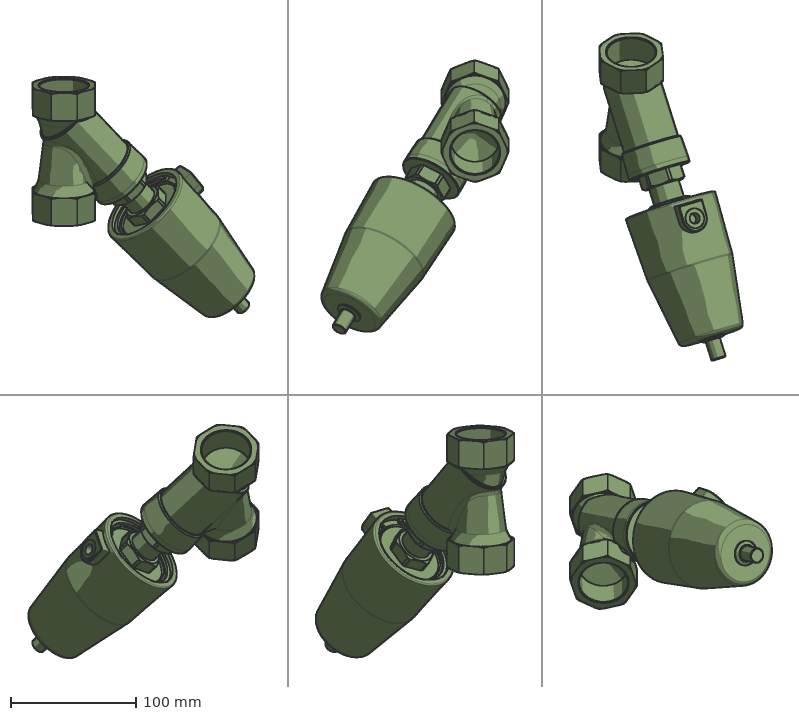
import cadquery as cq
import math


axis_start_height = 26.5
axis_dip = 48.0
dip_sin = math.sin(math.radians(axis_dip))
dip_cos = math.cos(math.radians(axis_dip))
tilted_axis = cq.Location(
    cq.Plane(
        origin=(0, 0, axis_start_height),
        xDir=(0, dip_sin, dip_cos),
        normal=(0, dip_cos, -dip_sin),
    )
)

pipe_length = 110.0
end_height = 23.0
end_across_flats = 50.0
end_sides = 8
end_chamfer_diameter = 51.5
chamfer_slope = math.tan(math.radians(30))
bore_diameter = 38.95
bore_depth = 22.0
bore_chamfer = 0.8
drill_tip_half_angle = 60.0

flare_root_radius = 24.4
flare_sag = 0.37
neck_radius = 20.3
upper_flare_height = 6.0
lower_flare_height = 9.0
upper_neck_foot = 12.0
upper_neck_foot_radius = 16.3
lower_neck_top = 12.0
lower_neck_top_radius = 16.0
neck_blend = 6.0

barrel_radius = 22.7
barrel_start = -2.2
barrel_chamfer = 0.7
collar_start = 54.4
collar_step = 1.2
collar_start_radius = 24.8
collar_radius = 25.4
collar_land_start = 71.0
collar_end = 75.8
collar_chamfer = 0.6

hex_across_flats = 32.0
hex_corner_diameter = 35.6
hex_face_diameter = 31.0

bonnet_hex_height = 11.4
stem_radius = 12.5

housing_start = 104.2
housing_edge_radius = 1.3
housing_mouth_radius = 37.53
housing_waist = 156.4
housing_waist_radius = 35.65
housing_waist_blend = 8.0
housing_end = 215.1
housing_end_radius = 26.5
housing_end_blend = 4.0
mouth_bore_radius = 32.5

hex_face = 101.2
disc_seat = 109.8
disc_centre = 111.3
disc_recess_radius = 27.75
disc_recess_floor_radius = 26.9
disc_thickness = 10.0
clip_thickness = 2.5
clip_inner_radius = 29.6
clip_ear_angle = 25.0
clip_ear_inner_radius = 27.9
clip_ear_width = 6.0
clip_ear_hole_radius = 29.9
clip_ear_hole_diameter = 1.5

port_height = 42.8
port_tilt = 3.4
port_centre = 122.2
port_start = 109.4
port_radius = 10.5
port_draft = 5.0
port_depth = 10.0
port_edge_chamfer = 0.6
port_face_diameter = 16.0
port_face_depth = 0.3
port_hole_diameter = 8.57
port_hole_depth = 9.0

gland_diameter = 20.0
gland_rim_height = 1.2
gland_tip_diameter = 14.0
gland_height = 2.2
gland_root = 1.0
pin_diameter = 12.0
pin_end = 233.08
pin_chamfer = 0.5
pin_start = 205.0


def turned(points):
    """Solid of revolution about local Z from (radius, height) corners."""
    return cq.Workplane("XZ").polyline(points).close().revolve(360, (0, 0, 0), (0, 1, 0))


def cylinder(radius, bottom, top):
    return cq.Workplane("XY").workplane(offset=bottom).circle(radius).extrude(top - bottom)


def place(solid):
    """Moves a solid from the upright frame onto the tilted axis."""
    return solid.val().moved(tilted_axis)


def pipe_end():
    """Upper octagon, with its rims turned to a cone at the corners."""
    corner_diameter = end_across_flats / math.cos(math.pi / end_sides)
    bottom = pipe_length / 2 - end_height
    top = pipe_length / 2
    rim = end_chamfer_diameter / 2
    drop = (corner_diameter / 2 - rim) * chamfer_slope
    octagon = (
        cq.Workplane("XY").workplane(offset=bottom).polygon(end_sides, corner_diameter).extrude(end_height)
    )
    envelope = turned(
        [
            (0, bottom),
            (rim, bottom),
            (corner_diameter / 2, bottom + drop),
            (corner_diameter / 2, top - drop),
            (rim, top),
            (0, top),
        ]
    )
    return octagon.intersect(envelope)


def pipe_bore():
    """Blind bore of the upper end, with a drill tip and a chamfered mouth."""
    radius = bore_diameter / 2
    top = pipe_length / 2
    shoulder = top - bore_depth
    tip = shoulder - radius / math.tan(math.radians(drill_tip_half_angle))
    return turned(
        [
            (0, tip),
            (radius, shoulder),
            (radius, top - bore_chamfer),
            (radius + bore_chamfer, top),
            (0, top),
        ]
    )


def flare(height):
    """Concave transition from an upper pipe end down to the neck."""
    root = pipe_length / 2 - end_height
    middle = (neck_radius + (flare_root_radius - neck_radius) * flare_sag, root - height / 2)
    return (
        cq.Workplane("XZ")
        .moveTo(0, root)
        .lineTo(flare_root_radius, root)
        .threePointArc(middle, (neck_radius, root - height))
        .lineTo(0, root - height)
        .close()
        .revolve(360, (0, 0, 0), (0, 1, 0))
    )


def upper_neck():
    top = pipe_length / 2 - end_height - upper_flare_height
    return turned(
        [(0, upper_neck_foot), (upper_neck_foot_radius, upper_neck_foot), (neck_radius, top), (0, top)]
    )


def lower_neck():
    """Cone of the lower neck, carried straight on into the lower pipe end."""
    foot = -(pipe_length / 2 - end_height - lower_flare_height)
    growth = (neck_radius - lower_neck_top_radius) / (lower_neck_top - foot)
    root = -(pipe_length / 2 - end_height / 2)
    root_radius = neck_radius + growth * (foot - root)
    cone = turned(
        [(0, root), (root_radius, root), (lower_neck_top_radius, lower_neck_top), (0, lower_neck_top)]
    )
    return cone.rotate((0, 0, 0), (0, 0, 1), 90)


def barrel():
    solid = cylinder(barrel_radius, barrel_start, collar_end)
    return cq.Workplane(place(solid.faces("<Z").chamfer(barrel_chamfer)))


def collar():
    solid = turned(
        [
            (0, collar_start - collar_step),
            (barrel_radius, collar_start - collar_step),
            (collar_start_radius - collar_step, collar_start - collar_step),
            (collar_start_radius, collar_start),
            (collar_radius, collar_land_start),
            (collar_radius, collar_end - collar_chamfer),
            (collar_radius - collar_chamfer, collar_end),
            (0, collar_end),
        ]
    )
    return cq.Workplane(place(solid))


def valve_body():
    body = barrel().union(lower_neck())
    body = body.edges(cq.selectors.TypeSelector("BSPLINE")).fillet(neck_blend)
    body = body.union(pipe_end()).union(pipe_end().mirror("XY"))
    body = body.union(flare(upper_flare_height)).union(flare(lower_flare_height).mirror("XY"))
    body = body.union(upper_neck()).union(collar())
    return body.cut(pipe_bore()).cut(pipe_bore().mirror("XY"))


def hexagon(bottom, top, chamfer_top):
    """Hexagon with turned corners and one coned face; two corners lie on local X."""
    corner_diameter = hex_across_flats / math.cos(math.pi / 6)
    outer = hex_corner_diameter / 2
    face = hex_face_diameter / 2
    drop = (outer - face) * chamfer_slope
    prism = cq.Workplane("XY").workplane(offset=bottom).polygon(6, corner_diameter).extrude(top - bottom)
    if chamfer_top:
        outline = [(0, bottom), (outer, bottom), (outer, top - drop), (face, top), (0, top)]
    else:
        outline = [(0, bottom), (face, bottom), (outer, bottom + drop), (outer, top), (0, top)]
    return prism.intersect(turned(outline))


def bonnet():
    hex_end = collar_end + bonnet_hex_height
    stem = cylinder(stem_radius, hex_end, hex_face)
    return place(hexagon(collar_end, hex_end, chamfer_top=True).union(stem))


def closing_disc():
    disc = cylinder(mouth_bore_radius, disc_seat, disc_seat + disc_thickness)
    recess = turned(
        [
            (0, disc_seat),
            (disc_recess_radius, disc_seat),
            (disc_recess_floor_radius, disc_centre),
            (0, disc_centre),
        ]
    )
    disc = disc.cut(recess)
    return place(disc.union(hexagon(hex_face, disc_centre, chamfer_top=False)))


def circlip():
    """Open retaining ring; its gap between the two drilled ears faces local +X."""
    front = disc_seat - clip_thickness
    ring = cylinder(mouth_bore_radius, front, disc_seat).cut(cylinder(clip_inner_radius, front, disc_seat))
    reach = 2 * mouth_bore_radius
    half_gap = math.radians(clip_ear_angle)
    gap = (
        cq.Workplane("XY")
        .workplane(offset=front)
        .polyline(
            [
                (0, 0),
                (reach * math.cos(half_gap), -reach * math.sin(half_gap)),
                (reach * math.cos(half_gap), reach * math.sin(half_gap)),
            ]
        )
        .close()
        .extrude(clip_thickness)
    )
    clip = ring.cut(gap)
    for side in (-1, 1):
        ear = (
            cq.Workplane("XY")
            .workplane(offset=front)
            .center((clip_ear_inner_radius + mouth_bore_radius) / 2, 0)
            .rect(mouth_bore_radius - clip_ear_inner_radius, clip_ear_width)
            .extrude(clip_thickness)
        )
        hole = cylinder(clip_ear_hole_diameter / 2, front, disc_seat).translate((clip_ear_hole_radius, 0, 0))
        turn = side * clip_ear_angle
        clip = clip.union(ear.rotate((0, 0, 0), (0, 0, 1), turn))
        clip = clip.cut(hole.rotate((0, 0, 0), (0, 0, 1), turn))
    return place(clip.intersect(cylinder(mouth_bore_radius, front, disc_seat)))


def housing_shell():
    shell = turned(
        [
            (0, housing_start),
            (housing_mouth_radius, housing_start),
            (housing_waist_radius, housing_waist),
            (housing_end_radius, housing_end),
            (0, housing_end),
        ]
    )
    shell = shell.faces("<Z").edges().fillet(housing_edge_radius)
    shell = shell.faces(">Z").edges().fillet(housing_end_blend)
    waist = cq.selectors.BoxSelector((-50, -50, housing_waist - 1), (50, 50, housing_waist + 1))
    return shell.edges(waist).fillet(housing_waist_blend).rotate((0, 0, 0), (0, 0, 1), 180)


def port_frame(height):
    """Plane parallel to the port's tilted face, at a height measured outwards from that face."""
    tilt = math.radians(port_tilt)
    out = (math.cos(tilt), 0, math.sin(tilt))
    origin = (port_height + height * out[0], 0, port_centre + height * out[2])
    return cq.Workplane(cq.Plane(origin=origin, xDir=(-out[2], 0, out[0]), normal=out))


def port_boss():
    """Drafted block with a half-round end towards the far end of the housing."""
    straight = port_centre - port_start
    return (
        port_frame(0)
        .moveTo(-straight, -port_radius)
        .lineTo(0, -port_radius)
        .threePointArc((port_radius, 0), (0, port_radius))
        .lineTo(-straight, port_radius)
        .close()
        .extrude(-port_depth, taper=-port_draft)
        .faces(">X")
        .edges()
        .chamfer(port_edge_chamfer)
    )


def gland():
    rim = gland_diameter / 2
    return turned(
        [
            (0, housing_end - gland_root),
            (rim, housing_end - gland_root),
            (rim, housing_end + gland_rim_height),
            (gland_tip_diameter / 2, housing_end + gland_height),
            (0, housing_end + gland_height),
        ]
    )


def housing():
    solid = housing_shell().union(port_boss()).union(gland())
    solid = solid.cut(port_frame(0).circle(port_face_diameter / 2).extrude(-port_face_depth))
    solid = solid.cut(port_frame(0).circle(port_hole_diameter / 2).extrude(-port_hole_depth))
    solid = solid.cut(cylinder(mouth_bore_radius, housing_start, disc_seat + disc_thickness))
    solid = solid.cut(cylinder(pin_diameter / 2, pin_start, pin_end))
    return place(solid)


def indicator_pin():
    return place(cylinder(pin_diameter / 2, pin_start, pin_end).faces(">Z").chamfer(pin_chamfer))


result = cq.Compound.makeCompound(
    [valve_body().val(), bonnet(), closing_disc(), circlip(), housing(), indicator_pin()]
)